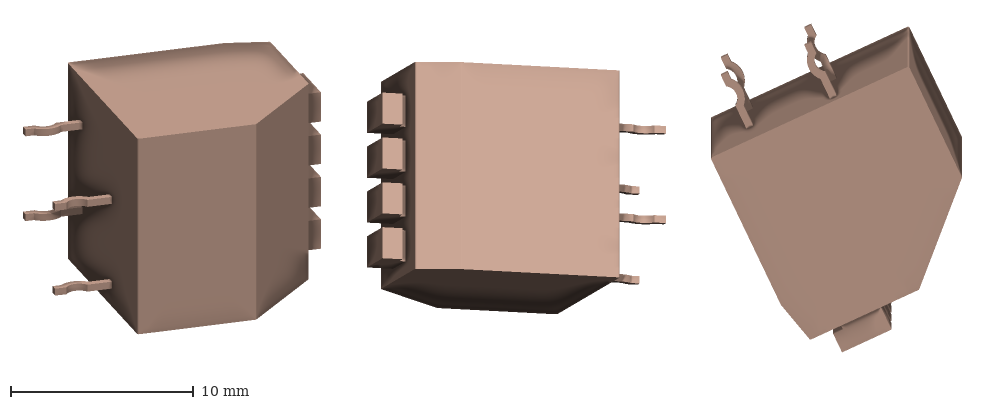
import cadquery as cq
import math

overall_length = 16.3
body_width = 12.0
body_depth = 11.5
body_height = 11.5
left_taper_width = 0.62
left_taper_depth = 2.45
right_taper_width = 4.8
right_taper_depth = 4.66
edge_radius = 0.1

pitch = 2.5
pole_count = 4

button_left = 1.85
button_right = 4.84
button_length = 1.5
button_height = 1.73
lip_overhang = 0.59
lip_gap = 0.36
first_button_z = 1.58

pin_length = overall_length - body_depth - button_length
pin_size = 0.4
left_pin_x = 2.38
pin_row_spacing = 5.05
first_pin_z = 1.27
bend_distance = 2.02
bend_inner_radius = 0.72
bend_outer_radius = bend_inner_radius + pin_size
bend_offset = 0.33

overlap = 0.16


def make_housing():
    outline = [
        (0, 0),
        (body_width, 0),
        (body_width, body_depth - right_taper_depth),
        (body_width - right_taper_width, body_depth),
        (left_taper_width, body_depth),
        (0, body_depth - left_taper_depth),
    ]
    prism = cq.Workplane("XY").polyline(outline).close().extrude(body_height)
    return prism.edges("|Z").fillet(edge_radius)


def make_button(center_z):
    lip_y = body_depth + lip_gap
    tip_y = body_depth + button_length
    root_y = body_depth - overlap
    outline = [
        (button_left + lip_overhang, root_y),
        (button_right, root_y),
        (button_right, tip_y),
        (button_left, tip_y),
        (button_left, lip_y),
        (button_left + lip_overhang, lip_y),
    ]
    bottom = cq.Workplane("XY").workplane(offset=center_z - button_height / 2)
    return bottom.polyline(outline).close().extrude(button_height)


def make_pin(center_x, center_z, bend_side):
    """Bend toward +X when bend_side is 1 and toward -X when it is -1."""
    inner_edge = -pin_size / 2
    outer_edge = pin_size / 2
    bend_center = inner_edge + bend_offset - bend_inner_radius
    inner_half = math.sqrt(bend_inner_radius**2 - (inner_edge - bend_center) ** 2)
    outer_half = math.sqrt(bend_outer_radius**2 - (outer_edge - bend_center) ** 2)

    def point(offset, y):
        return (center_x + bend_side * offset, y)

    bottom = cq.Workplane("XY").workplane(offset=center_z - pin_size / 2)
    outline = (
        bottom.moveTo(*point(inner_edge, overlap))
        .lineTo(*point(inner_edge, -bend_distance + inner_half))
        .threePointArc(
            point(bend_center + bend_inner_radius, -bend_distance),
            point(inner_edge, -bend_distance - inner_half),
        )
        .lineTo(*point(inner_edge, -pin_length))
        .lineTo(*point(outer_edge, -pin_length))
        .lineTo(*point(outer_edge, -bend_distance - outer_half))
        .threePointArc(
            point(bend_center + bend_outer_radius, -bend_distance),
            point(outer_edge, -bend_distance + outer_half),
        )
        .lineTo(*point(outer_edge, overlap))
        .close()
    )
    return outline.extrude(pin_size)


result = make_housing()
for pole in range(pole_count):
    result = result.union(make_button(first_button_z + pole * pitch))
    pin_z = first_pin_z + pole * pitch
    if pole % 2 == 0:
        pin = make_pin(left_pin_x + pin_row_spacing, pin_z, -1)
    else:
        pin = make_pin(left_pin_x, pin_z, 1)
    result = result.union(pin)